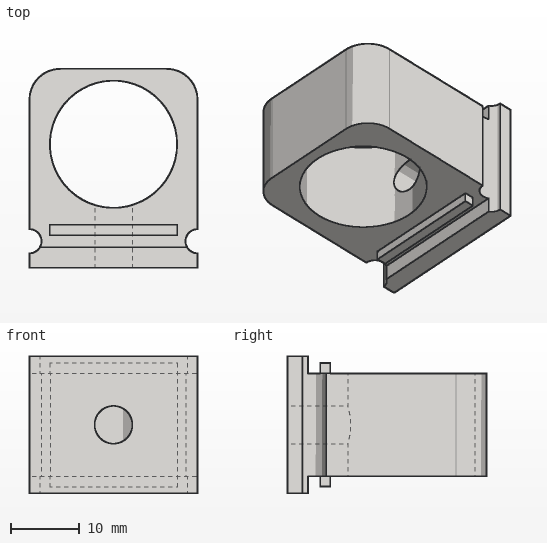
import cadquery as cq

width = 24.5
length = 29.0
body_height = 15.0
corner_radius = 4.5

bore_diameter = 18.5
back_wall = 1.75

plate_thickness = 3.0
plate_height = 20.0

rib_thickness = 1.5
rib_projection = 1.5
rib_gap = 1.75
rib_length = bore_diameter

notch_diameter = 3.5
front_hole_diameter = 5.5

back_y = bore_diameter / 2 + back_wall
front_y = back_y - length
plate_back_y = front_y + plate_thickness
rib_front_y = plate_back_y + rib_gap
notch_y = plate_back_y + rib_gap / 2


def block(size_x, y_start, size_y, size_z):
    """Box centred on X and Z, running from y_start towards +Y."""
    return cq.Workplane("XY").box(size_x, size_y, size_z).translate((0, y_start + size_y / 2, 0))


def make_body():
    """Body with its two rear vertical corners rounded."""
    return block(width, front_y, length, body_height).edges("|Z and >Y").fillet(corner_radius)


def make_plate():
    """Front plate, taller than the body."""
    return block(width, front_y, plate_thickness, plate_height)


def make_ribs():
    """One bar through the body, standing proud as a rib above and below."""
    return block(rib_length, rib_front_y, rib_thickness, body_height + 2 * rib_projection)


def make_bore():
    """Main bore through the full body height."""
    return cq.Workplane("XY").circle(bore_diameter / 2).extrude(body_height / 2, both=True)


def make_notches():
    """Half-round notches running the full height of both side faces."""
    centres = [(-width / 2, notch_y), (width / 2, notch_y)]
    return (
        cq.Workplane("XY")
        .pushPoints(centres)
        .circle(notch_diameter / 2)
        .extrude(plate_height / 2, both=True)
    )


def make_front_hole():
    """Hole from the front face into the bore, ending on the bore axis."""
    return cq.Workplane("XZ").circle(front_hole_diameter / 2).extrude(-front_y)


result = (
    make_body()
    .union(make_plate())
    .union(make_ribs())
    .cut(make_bore())
    .cut(make_notches())
    .cut(make_front_hole())
)